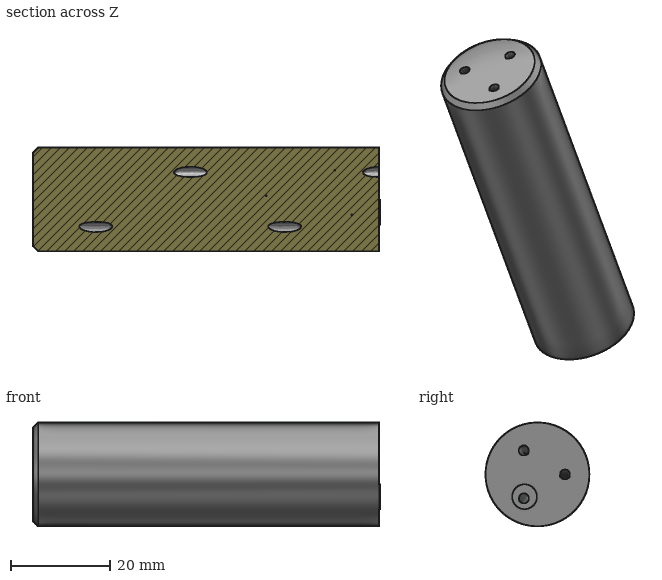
import cadquery as cq
import math

rod_diameter = 21.0
overall_length = 70.0
chamfer_size = 1.05

disc_diameter = 5.0
disc_height = 0.2
disc_center_radius = 5.2
disc_angle = 240.0

hole_count = 3
hole_diameter = 2.0
hole_center_radius = 5.55
first_hole_angle = 20.0
helix_angle = 30.0

rod_length = overall_length - disc_height
start_x = -overall_length / 2
rod_end_x = start_x + rod_length

helix_pitch = math.pi * rod_diameter / math.tan(math.radians(helix_angle))
hole_twist = 360 * overall_length / helix_pitch


def yz_plane(x):
    """Workplane parallel to YZ at the given X, centred on the rod axis."""
    return cq.Workplane("YZ", origin=(x, 0, 0))


def polar_yz(radius, angle):
    """Y and Z of a point at the given radius and angle, measured from +Y toward +Z."""
    return radius * math.cos(math.radians(angle)), radius * math.sin(math.radians(angle))


def make_rod():
    """Cylinder with a chamfered -X edge, turned about the X axis."""
    radius = rod_diameter / 2
    profile = [
        (start_x, 0),
        (start_x, radius - chamfer_size),
        (start_x + chamfer_size, radius),
        (rod_end_x, radius),
        (rod_end_x, 0),
    ]
    return cq.Workplane("XY").polyline(profile).close().revolve(360, (0, 0, 0), (1, 0, 0))


def make_raised_disc():
    """Shallow disc standing on the +X face."""
    center = polar_yz(disc_center_radius, disc_angle)
    return yz_plane(rod_end_x).pushPoints([center]).circle(disc_diameter / 2).extrude(disc_height)


def make_helical_hole(start_angle):
    """Round hole that winds about the rod axis from the -X face to the +X end."""
    center = polar_yz(hole_center_radius, start_angle)
    section = yz_plane(start_x).pushPoints([center]).circle(hole_diameter / 2)
    return section.twistExtrude(overall_length, hole_twist)


result = make_rod().union(make_raised_disc())
for index in range(hole_count):
    result = result.cut(make_helical_hole(first_hole_angle + index * 360 / hole_count))